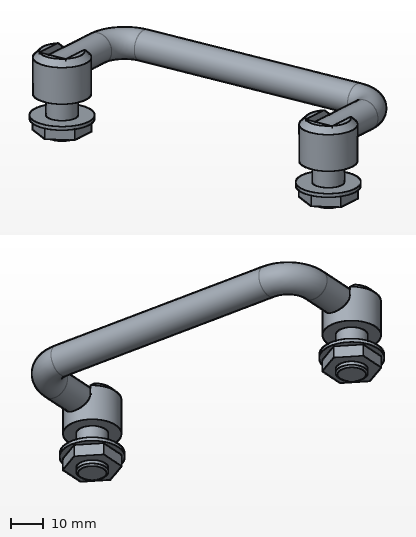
import cadquery as cq
import math

overall_length = 120.0
overall_depth = 44.2
overall_height = 28.0

rod_diameter = 10.0
rod_radius = rod_diameter / 2
bend_radius = rod_diameter

seat_diameter = 18.0
seat_height = 14.0
seat_chamfer = 2.0

stud_diameter = rod_diameter
stud_chamfer = 0.6
washer_diameter = 20.0
washer_top = -21.0
washer_thickness = 1.2
nut_thickness = 4.0
nut_across_flats = 15.8

stud_x = (overall_length - washer_diameter) / 2
bar_y = overall_depth - washer_diameter / 2 - rod_radius
rod_end_y = -rod_radius
nut_top = washer_top - washer_thickness


def disc(diameter, top, thickness):
    """Upright cylinder on the Z axis, hanging down from the given height."""
    return cq.Workplane("XY").workplane(offset=top).circle(diameter / 2).extrude(-thickness)


def make_rod():
    """Round rod swept along a U-shaped path with rounded corners."""
    bend_start_y = bar_y - bend_radius
    bend_end_x = stud_x - bend_radius
    bend_mid_x = bend_end_x + bend_radius * math.sqrt(0.5)
    bend_mid_y = bend_start_y + bend_radius * math.sqrt(0.5)
    path = (
        cq.Workplane("XY", origin=(0, 0, -rod_radius))
        .moveTo(-stud_x, rod_end_y)
        .lineTo(-stud_x, bend_start_y)
        .threePointArc((-bend_mid_x, bend_mid_y), (-bend_end_x, bar_y))
        .lineTo(bend_end_x, bar_y)
        .threePointArc((bend_mid_x, bend_mid_y), (stud_x, bend_start_y))
        .lineTo(stud_x, rod_end_y)
    )
    profile = cq.Workplane("XZ", origin=(-stud_x, rod_end_y, -rod_radius)).circle(rod_radius)
    return profile.sweep(path)


def make_seat():
    """Chamfered cylinder with a U-shaped slot, open at the top and toward +Y."""
    seat = disc(seat_diameter, 0, seat_height).faces(">Z").chamfer(seat_chamfer)
    slot = (
        cq.Workplane("XZ", origin=(0, rod_end_y, 0))
        .moveTo(-rod_radius, 0)
        .lineTo(-rod_radius, -rod_radius)
        .threePointArc((0, -rod_diameter), (rod_radius, -rod_radius))
        .lineTo(rod_radius, 0)
        .close()
        .extrude(-seat_diameter)
    )
    return seat.cut(slot)


def make_fastener():
    """Stud with a chamfered tip, carrying a washer and a hexagon nut."""
    stud_length = overall_height - seat_height
    stud = disc(stud_diameter, -seat_height, stud_length).faces("<Z").chamfer(stud_chamfer)
    washer = disc(washer_diameter, washer_top, washer_thickness)
    across_corners = nut_across_flats / math.cos(math.pi / 6)
    nut = (
        cq.Workplane("XY", origin=(0, 0, nut_top))
        .transformed(rotate=(0, 0, 90))
        .polygon(6, across_corners)
        .extrude(-nut_thickness)
    )
    return stud.union(washer).union(nut)


mount = make_seat().union(make_fastener())
result = make_rod()
for x in (-stud_x, stud_x):
    result = result.union(mount.translate((x, 0, 0)))